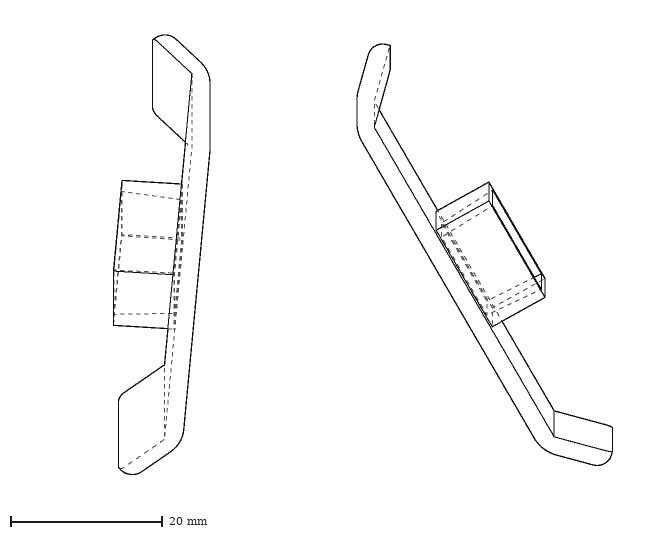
import cadquery as cq
import math

span = 44.5
height = 16.5
thickness = 2.5
flange_length = 8.0
bend_angle = 45.0
bend_radius = 5.0
tip_radius = 2.0
rim_radius = 1.0

block_width = 15.0
block_depth = 8.0
block_height = 12.0
mouth_width = 13.0
mouth_height = 9.8
pocket_taper = 0.45

half_span = span / 2
half_height = height / 2
inner_face = half_span - thickness
inner_bend = half_span - flange_length
outer_bend = inner_bend - thickness * math.tan(math.radians(bend_angle / 2))

web_middle = (inner_face - inner_bend) / 2


def nearest(x, y, z=0):
    return cq.selectors.NearestToPointSelector((x, y, z))


def make_plate():
    outline = [
        (-half_span, half_span),
        (-outer_bend, half_span),
        (half_span, -outer_bend),
        (half_span, -half_span),
        (inner_face, -half_span),
        (inner_face, -inner_bend),
        (-inner_bend, inner_face),
        (-half_span, inner_face),
    ]
    plate = (
        cq.Workplane("XY", origin=(0, 0, -half_height))
        .polyline(outline).close()
        .extrude(height)
    )

    for x, y in [(-outer_bend, half_span), (half_span, -outer_bend)]:
        plate = plate.edges("|Z").edges(nearest(x, y)).fillet(bend_radius)
    for x, y in [(-half_span, half_span), (half_span, -half_span)]:
        plate = plate.edges("|Z").edges(nearest(x, y)).fillet(tip_radius)

    flange_middle = -half_span + flange_length / 2
    for z in (-half_height, half_height):
        plate = plate.edges(nearest(flange_middle, half_span, z)).fillet(rim_radius)
    return plate


def web_plane(offset):
    """Plane parallel to the web, the given distance out from its inner face."""
    middle = web_middle - offset / math.sqrt(2)
    return cq.Plane(origin=(middle, middle, 0), xDir=(1, -1, 0), normal=(-1, -1, 0))


def make_block():
    sunk = thickness / 2
    return (
        cq.Workplane(web_plane(-sunk))
        .rect(block_width, block_height)
        .extrude(block_depth + sunk)
    )


def make_pocket():
    floor_width = mouth_width - 2 * pocket_taper
    floor_height = mouth_height - 2 * pocket_taper
    return (
        cq.Workplane(web_plane(0))
        .rect(floor_width, floor_height)
        .workplane(offset=block_depth)
        .rect(mouth_width, mouth_height)
        .loft(combine=True)
    )


result = make_plate().union(make_block()).cut(make_pocket())